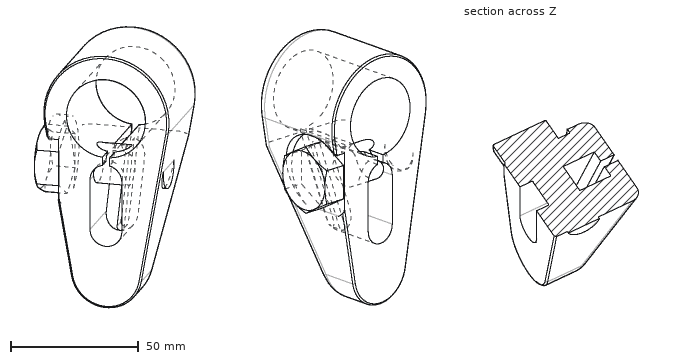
import cadquery as cq
import math

total_height = 103.2
total_width = 54.6
depth = 43.8
head_radius = 25.4
toe_radius = 14.3
bore_radius = 16.0
toe_z = -(total_height - head_radius - toe_radius)

slope_start_z = -17.2
slope_run = 0.47
back_fillet = 4.8
front_chamfer = 0.7

slit_width = 2.9
pocket_width = 12.9
pocket_top_z = -19.1
pocket_bottom_z = -52.4
back_wall = 6.2

bolt_y = 12.6
bolt_z = -22.4
shank_radius = 8.0
shank_end_x = 22.0
seat_x = -19.2
seat_radius = 17.5
hex_flats = 24.0
hex_corners = hex_flats / math.cos(math.radians(30))
hex_head_x = head_radius - total_width
head_chamfer_angle = 30

toe_bottom_z = toe_z - toe_radius


def back_y(z):
    """Depth of the sloping back at height z."""
    return depth - slope_run * (slope_start_z - z)


def prism_along_x(points, width):
    """Solid with a YZ outline, centred on x = 0."""
    return cq.Workplane("YZ").polyline(points).close().extrude(width / 2, both=True)


def x_cylinder(radius, start_x, end_x):
    """Cylinder on the bolt axis."""
    plane = cq.Workplane("YZ", origin=(start_x, bolt_y, bolt_z))
    return plane.circle(radius).extrude(end_x - start_x)


def make_body():
    sine = (head_radius - toe_radius) / -toe_z
    cosine = math.sqrt(1 - sine**2)
    head_tangent = (head_radius * cosine, -head_radius * sine)
    toe_tangent = (toe_radius * cosine, toe_z - toe_radius * sine)
    body = (
        cq.Workplane("XZ")
        .moveTo(-head_tangent[0], head_tangent[1])
        .threePointArc((0, head_radius), head_tangent)
        .lineTo(*toe_tangent)
        .threePointArc((0, toe_bottom_z), (-toe_tangent[0], toe_tangent[1]))
        .close()
        .extrude(-depth)
    )
    behind_slope = prism_along_x(
        [
            (depth, slope_start_z),
            (back_y(toe_bottom_z), toe_bottom_z),
            (depth, toe_bottom_z),
        ],
        2 * head_radius,
    )
    body = body.cut(behind_slope)

    flat_back = body.faces(">Y")
    sloped_back = body.faces(cq.selectors.ParallelDirSelector(cq.Vector(0, 1, -slope_run)))
    crease = flat_back.edges("|X")
    outline = flat_back.edges().add(sloped_back.edges())
    back_edges = [edge for edge in outline.vals() if not edge.isSame(crease.val())]
    body = body.newObject(back_edges).fillet(back_fillet)
    return body.faces("<Y").edges().chamfer(front_chamfer)


def make_pocket():
    pocket = (
        cq.Workplane("XZ")
        .center(0, (pocket_top_z + pocket_bottom_z) / 2)
        .slot2D(pocket_top_z - pocket_bottom_z, pocket_width, 90)
        .extrude(-depth)
    )
    floor_limit = prism_along_x(
        [
            (0, pocket_top_z),
            (back_y(pocket_top_z) - back_wall, pocket_top_z),
            (back_y(pocket_bottom_z) - back_wall, pocket_bottom_z),
            (0, pocket_bottom_z),
        ],
        pocket_width,
    )
    return pocket.intersect(floor_limit)


def make_slit():
    """Slit from the bore down to a full-round end level with the pocket."""
    return (
        cq.Workplane("XZ")
        .center(0, pocket_bottom_z / 2)
        .slot2D(-pocket_bottom_z, slit_width, 90)
        .extrude(-depth)
    )


def make_bolt():
    head_length = seat_x - hex_head_x
    head = (
        cq.Workplane("YZ", origin=(hex_head_x, bolt_y, bolt_z))
        .polygon(6, hex_corners)
        .extrude(head_length)
        .rotate((0, bolt_y, bolt_z), (1, bolt_y, bolt_z), 90)
    )
    spread = head_length / math.tan(math.radians(head_chamfer_angle))
    cone = (
        cq.Workplane("XY")
        .moveTo(hex_head_x, 0)
        .lineTo(hex_head_x, hex_flats / 2)
        .lineTo(seat_x, hex_flats / 2 + spread)
        .lineTo(seat_x, 0)
        .close()
        .revolve(360, (0, 0), (1, 0))
        .translate((0, bolt_y, bolt_z))
    )
    return head.intersect(cone).union(x_cylinder(shank_radius, seat_x, shank_end_x))


bore = cq.Workplane("XZ").circle(bore_radius).extrude(-depth)
bolt_seat = x_cylinder(seat_radius, -head_radius, seat_x)

result = make_body().cut(bore).cut(make_pocket()).cut(make_slit())
result = result.cut(bolt_seat).union(make_bolt())